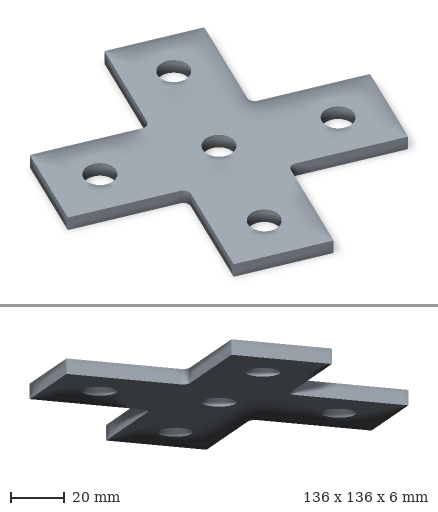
import cadquery as cq

span = 136.0
arm_width = 40.0
thickness = 6.0
hole_diameter = 13.0
hole_pitch = 47.6
corner_radius = 3.0


def cross_plate():
    """Two equal bars crossing at the origin, with rounded inner corners."""
    bar_x = cq.Workplane("XY").rect(span, arm_width).extrude(thickness)
    bar_y = cq.Workplane("XY").rect(arm_width, span).extrude(thickness)
    reach = arm_width / 2 + corner_radius
    inner_corners = cq.selectors.BoxSelector((-reach, -reach, 0), (reach, reach, thickness))
    return bar_x.union(bar_y).edges("|Z").edges(inner_corners).fillet(corner_radius)


hole_centres = [
    (0, 0),
    (hole_pitch, 0),
    (-hole_pitch, 0),
    (0, hole_pitch),
    (0, -hole_pitch),
]
holes = cq.Workplane("XY").pushPoints(hole_centres).circle(hole_diameter / 2).extrude(thickness)

result = cross_plate().cut(holes)